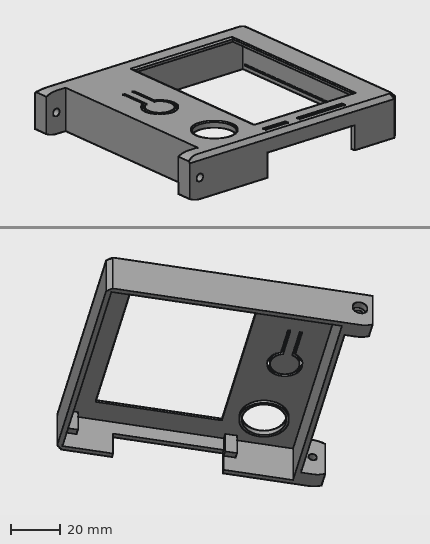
import cadquery as cq

WIDTH, LENGTH, HEIGHT = 98.0, 110.0, 19.0
WALL = 2.2
PLATE = 1.6
EDGE_CHAMFER = 2.0
CORNER_CHAMFER = 2.2
PLATE_BOTTOM = HEIGHT - PLATE
INNER_RIGHT = WIDTH - WALL
INNER_BACK = LENGTH - WALL

ARM_WIDTH = 7.3
BODY_FRONT = 10.1
ARM_ROUND_LENGTH = 5.3
ARM_DROP = 1.3
ARM_MID_DROP = ARM_DROP / 4
HINGE_Y, HINGE_Z = 5.3, 9.5
HINGE_HOLE_DIAMETER = 3.4
HINGE_HEAD_DIAMETER = 6.0
HINGE_HEAD_DEPTH = 3.3

WINDOW_X = (9.7, 85.6)
WINDOW_Y = (44.0, 96.2)
WINDOW_BEVEL_X, WINDOW_BEVEL_Y = 1.2, 0.5
BEVEL_DEPTH = 0.5

KNOB_X, KNOB_Y = 80.2, 27.7
KNOB_DIAMETER = 18.0
KNOB_BEVEL = 0.5
KNOB_COLLAR_WALL = 1.1
KNOB_COLLAR_DEPTH = 1.3

BUTTON_X, BUTTON_Y = 47.5, 26.2
BUTTON_RADIUS = 6.0
BUTTON_SLIT_RADIUS = 7.2
BUTTON_BEVEL = 0.4
TONGUE_END_X = 27.7
TONGUE_WIDTH = 3.8
TONGUE_SLIT = 1.0

RECESS_X = (91.8, 93.8)
RECESS_SPANS_Y = ((43.6, 55.4), (61.5, 85.2))
RECESS_DEPTH = 0.5

PORT_Y = (41.0, 86.8)
PORT_HEIGHT = 11.0
BLOCK_WIDTH = 2.8
BLOCK_BOTTOM = 7.7
BLOCK_SPANS_Y = ((36.1, PORT_Y[0]), (102.0, INNER_BACK))

GROOVE_BOTTOM = 1.9
GROOVE_SIZE = 0.5
GROOVE_END_GAP = 1.1


def block(x_span, y_span, z_span):
    """Box spanning the given limits on each axis."""
    spans = (x_span, y_span, z_span)
    size = [high - low for low, high in spans]
    return cq.Workplane("XY").box(*size, centered=False).translate([low for low, high in spans])


def cylinder(x, y, radius, bottom, height):
    return cq.Workplane("XY", origin=(x, y, bottom)).circle(radius).extrude(height)


def beveled_cylinder(x, y, radius, bevel):
    """Hole through the plate with a beveled upper rim."""
    hole = cylinder(x, y, radius, PLATE_BOTTOM, PLATE)
    rim = (
        cq.Workplane("XY", origin=(x, y, HEIGHT - bevel))
        .circle(radius)
        .workplane(offset=bevel)
        .circle(radius + bevel)
        .loft()
    )
    return hole.union(rim)


def shell():
    body = cq.Workplane("XY").box(WIDTH, LENGTH, HEIGHT, centered=False)
    body = body.edges("|Z and >Y").chamfer(CORNER_CHAMFER)
    body = body.faces(">Z").edges("not <Y").chamfer(EDGE_CHAMFER)
    side_profile = (
        cq.Workplane("YZ")
        .moveTo(LENGTH, 0)
        .lineTo(ARM_ROUND_LENGTH, 0)
        .threePointArc((ARM_ROUND_LENGTH / 2, ARM_MID_DROP), (0, ARM_DROP))
        .lineTo(0, HEIGHT - ARM_DROP)
        .threePointArc((ARM_ROUND_LENGTH / 2, HEIGHT - ARM_MID_DROP), (ARM_ROUND_LENGTH, HEIGHT))
        .lineTo(LENGTH, HEIGHT)
        .close()
        .extrude(WIDTH)
    )
    body = body.intersect(side_profile)
    body = body.cut(block((ARM_WIDTH, WIDTH - ARM_WIDTH), (0, BODY_FRONT), (0, HEIGHT)))
    return body.cut(block((WALL, INNER_RIGHT), (BODY_FRONT + WALL, INNER_BACK), (0, PLATE_BOTTOM)))


def hinge_holes():
    axis = cq.Workplane("YZ").center(HINGE_Y, HINGE_Z)
    through = axis.circle(HINGE_HOLE_DIAMETER / 2).extrude(WIDTH)
    head = axis.circle(HINGE_HEAD_DIAMETER / 2).extrude(HINGE_HEAD_DEPTH)
    return through.union(head)


def window():
    opening = block(WINDOW_X, WINDOW_Y, (PLATE_BOTTOM, HEIGHT))
    width = WINDOW_X[1] - WINDOW_X[0]
    length = WINDOW_Y[1] - WINDOW_Y[0]
    bevel = (
        cq.Workplane("XY", origin=(sum(WINDOW_X) / 2, sum(WINDOW_Y) / 2, HEIGHT - BEVEL_DEPTH))
        .rect(width, length)
        .workplane(offset=BEVEL_DEPTH)
        .rect(width + 2 * WINDOW_BEVEL_X, length + 2 * WINDOW_BEVEL_Y)
        .loft()
    )
    return opening.union(bevel)


def knob_collar():
    """Ring under the plate that lengthens the round opening."""
    bottom = PLATE_BOTTOM - KNOB_COLLAR_DEPTH
    height = KNOB_COLLAR_DEPTH + PLATE
    outside = cylinder(KNOB_X, KNOB_Y, KNOB_DIAMETER / 2 + KNOB_COLLAR_WALL, bottom, height)
    return outside.cut(cylinder(KNOB_X, KNOB_Y, KNOB_DIAMETER / 2, bottom, height))


def button_slit():
    plate_z = (PLATE_BOTTOM, HEIGHT)
    half_tongue = TONGUE_WIDTH / 2
    half_outer = half_tongue + TONGUE_SLIT
    tongue_x = (TONGUE_END_X, BUTTON_X)
    slit = beveled_cylinder(BUTTON_X, BUTTON_Y, BUTTON_SLIT_RADIUS, BUTTON_BEVEL)
    slit = slit.union(block(tongue_x, (BUTTON_Y - half_outer, BUTTON_Y + half_outer), plate_z))
    tongue = block(tongue_x, (BUTTON_Y - half_tongue, BUTTON_Y + half_tongue), plate_z)
    pad = cylinder(BUTTON_X, BUTTON_Y, BUTTON_RADIUS, PLATE_BOTTOM, PLATE)
    return slit.cut(tongue).cut(pad)


result = shell()
for span_y in BLOCK_SPANS_Y:
    corner_x = (INNER_RIGHT - BLOCK_WIDTH, INNER_RIGHT)
    result = result.union(block(corner_x, span_y, (BLOCK_BOTTOM, PLATE_BOTTOM)))
result = result.cut(hinge_holes())
result = result.cut(window())
result = result.union(knob_collar())
result = result.cut(beveled_cylinder(KNOB_X, KNOB_Y, KNOB_DIAMETER / 2, KNOB_BEVEL))
result = result.cut(button_slit())
for span_y in RECESS_SPANS_Y:
    result = result.cut(block(RECESS_X, span_y, (HEIGHT - RECESS_DEPTH, HEIGHT)))
result = result.cut(block((INNER_RIGHT, WIDTH), PORT_Y, (0, PORT_HEIGHT)))
result = result.cut(
    block(
        (WALL + GROOVE_END_GAP, INNER_RIGHT - GROOVE_END_GAP),
        (INNER_BACK, INNER_BACK + GROOVE_SIZE),
        (GROOVE_BOTTOM, GROOVE_BOTTOM + GROOVE_SIZE),
    )
)